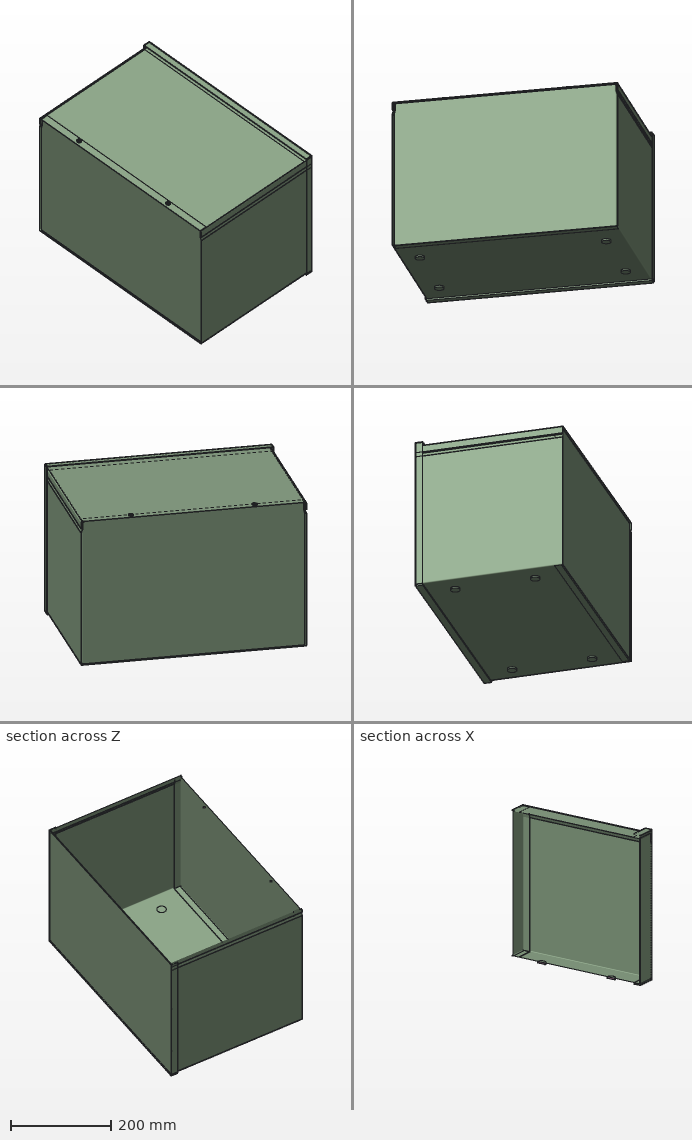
import cadquery as cq
import math

WIDTH = 466.73
DEPTH = 308.27
HEIGHT = 318.8
FRAME_SHEET = 1.9
SHEET = 0.91

FRAME_DEPTH = 15.88
FRAME_BEND = 2.0

BODY_TOP_GAP = 6.8
FOOT_HEIGHT = 3.5

COVER_BEND = 3.0
COVER_FLANGE = 15.88
COVER_CLEARANCE = 0.75

BASE_BEND = 2.4
SLOPE_TOP_DROP = 17.0
SLOPE_HEIGHT = 8.0
SLOPE_INSET = 3.0
PANEL_RECESS = 1.7
PANEL_BEND = 1.8
PANEL_FLANGE = 15.88
PANEL_LOWER_GAP = 2.0
PANEL_UPPER_GAP = 1.0

SCREW_SPACING = 254.0
SCREW_SETBACK = 9.35
HEAD_ACROSS_CORNERS = 10.52
HEAD_HEIGHT = 2.6
HEAD_STEPS = ((7.92, 0.4), (6.35, 0.8), (3.68, 1.2))
SHANK_DIAMETER = 4.83
SHANK_LENGTH = 9.5

FOOT_DIAMETER = 19.05
FOOT_X_SPACING = 382.0
FOOT_Y_SPACING = 167.0
FOOT_Y_OFFSET = -0.8

half_width = WIDTH / 2
front_y = -DEPTH / 2
back_y = DEPTH / 2
top_z = HEIGHT / 2
floor_z = -HEIGHT / 2
body_half_width = half_width - FRAME_SHEET
body_back_y = back_y - FRAME_SHEET
body_depth = body_back_y - front_y
body_top_z = top_z - BODY_TOP_GAP
body_bottom_z = floor_z + FOOT_HEIGHT
cover_inner_z = body_top_z - SHEET
base_top_z = cover_inner_z - COVER_CLEARANCE
slope_top_z = body_top_z - SLOPE_TOP_DROP
slope_bottom_z = slope_top_z - SLOPE_HEIGHT
upper_half_width = body_half_width - SLOPE_INSET
screw_y = front_y + SCREW_SETBACK
screw_points = [(side * SCREW_SPACING / 2, screw_y) for side in (-1, 1)]


def block(x0, x1, y0, y1, z0, z1):
    """Box between two opposite corners."""
    return cq.Workplane("XY").box(x1 - x0, y1 - y0, z1 - z0, centered=False).translate((x0, y0, z0))


def screw_holes():
    return (
        cq.Workplane("XY", origin=(0, 0, body_top_z - SHANK_LENGTH))
        .pushPoints(screw_points)
        .circle(SHANK_DIAMETER / 2)
        .extrude(SHANK_LENGTH)
    )


def make_frame():
    flange_front_y = back_y - FRAME_DEPTH
    side_top_z = top_z - FRAME_SHEET
    side_channel = (
        block(-half_width, half_width, flange_front_y, back_y, body_bottom_z, side_top_z)
        .edges("|Z and >Y")
        .fillet(FRAME_BEND)
        .cut(block(-body_half_width, body_half_width, flange_front_y, body_back_y, floor_z, top_z))
    )
    top_bottom_channel = (
        block(-body_half_width, body_half_width, flange_front_y, back_y, floor_z, top_z)
        .edges("|X and >Y")
        .fillet(FRAME_BEND)
        .cut(block(-half_width, half_width, flange_front_y, body_back_y, body_bottom_z, side_top_z))
    )
    return side_channel.union(top_bottom_channel)


def base_outline(inset):
    """Closed cross-section of the base, moved inward by `inset`."""
    lower = body_half_width - inset
    upper = upper_half_width - inset
    corner = BASE_BEND - inset
    bottom = body_bottom_z + inset
    slope_angle = math.atan2(SLOPE_INSET, SLOPE_HEIGHT)
    drop = inset * math.tan(slope_angle / 2)
    return (
        cq.Workplane("XZ", origin=(0, body_back_y, 0))
        .moveTo(-lower + corner, bottom)
        .lineTo(lower - corner, bottom)
        .radiusArc((lower, bottom + corner), -corner)
        .lineTo(lower, slope_bottom_z - drop)
        .lineTo(upper, slope_top_z - drop)
        .lineTo(upper, base_top_z - inset)
        .lineTo(-upper, base_top_z - inset)
        .lineTo(-upper, slope_top_z - drop)
        .lineTo(-lower, slope_bottom_z - drop)
        .lineTo(-lower, bottom + corner)
        .radiusArc((-lower + corner, bottom), -corner)
        .close()
        .extrude(body_depth)
    )


def make_panel():
    """Front panel pan: stepped outline, rounded front edges and return flanges behind them."""
    lower = body_half_width - SHEET - PANEL_LOWER_GAP
    upper = upper_half_width - SHEET - PANEL_UPPER_GAP
    right_side = [
        (lower, body_bottom_z + SHEET),
        (lower, slope_bottom_z),
        (upper, slope_top_z),
        (upper, base_top_z),
    ]
    left_side = [(-x, z) for x, z in reversed(right_side)]
    return (
        cq.Workplane("XZ", origin=(0, front_y + PANEL_RECESS + PANEL_FLANGE, 0))
        .polyline(right_side + left_side)
        .close()
        .extrude(PANEL_FLANGE)
        .faces("<Y")
        .edges()
        .fillet(PANEL_BEND)
        .faces(">Y")
        .shell(-SHEET)
    )


def make_base():
    """Bottom and side walls with an open top and front, a back wall, and the front panel pan."""
    opening_half = upper_half_width - SHEET
    walls = (
        base_outline(0)
        .cut(base_outline(SHEET).translate((0, -SHEET, 0)))
        .cut(
            block(
                -opening_half,
                opening_half,
                front_y,
                body_back_y - PANEL_FLANGE,
                slope_top_z,
                base_top_z,
            )
        )
    )
    return walls.union(make_panel()).cut(screw_holes())


def make_cover():
    flange_bottom_z = body_top_z - COVER_FLANGE
    inner_half = body_half_width - SHEET
    return (
        block(-body_half_width, body_half_width, front_y, body_back_y, flange_bottom_z, body_top_z)
        .edges("|Y and >Z")
        .fillet(COVER_BEND)
        .cut(
            block(-inner_half, inner_half, front_y, body_back_y, flange_bottom_z, cover_inner_z)
            .edges("|Y and >Z")
            .fillet(COVER_BEND - SHEET)
        )
        .cut(screw_holes())
    )


def make_screw(x, y):
    screw = (
        cq.Workplane("XY", origin=(x, y, body_top_z))
        .transformed(rotate=(0, 0, 90))
        .polygon(6, HEAD_ACROSS_CORNERS)
        .extrude(HEAD_HEIGHT)
    )
    for diameter, depth in HEAD_STEPS:
        screw = screw.cut(
            cq.Workplane("XY", origin=(x, y, body_top_z + HEAD_HEIGHT - depth))
            .circle(diameter / 2)
            .extrude(depth)
        )
    shank = cq.Workplane("XY", origin=(x, y, body_top_z)).circle(SHANK_DIAMETER / 2).extrude(-SHANK_LENGTH)
    return screw.union(shank)


def make_foot(x, y):
    return cq.Workplane("XY", origin=(x, y, floor_z)).circle(FOOT_DIAMETER / 2).extrude(FOOT_HEIGHT)


frame = make_frame()
base = make_base()
cover = make_cover()
screws = [make_screw(x, y) for x, y in screw_points]
feet = [
    make_foot(x_side * FOOT_X_SPACING / 2, FOOT_Y_OFFSET + y_side * FOOT_Y_SPACING / 2)
    for x_side in (-1, 1)
    for y_side in (-1, 1)
]

result = cq.Compound.makeCompound(
    [
        frame.val(),
        base.val(),
        cover.val(),
        *[screw.val() for screw in screws],
        *[foot.val() for foot in feet],
    ]
)